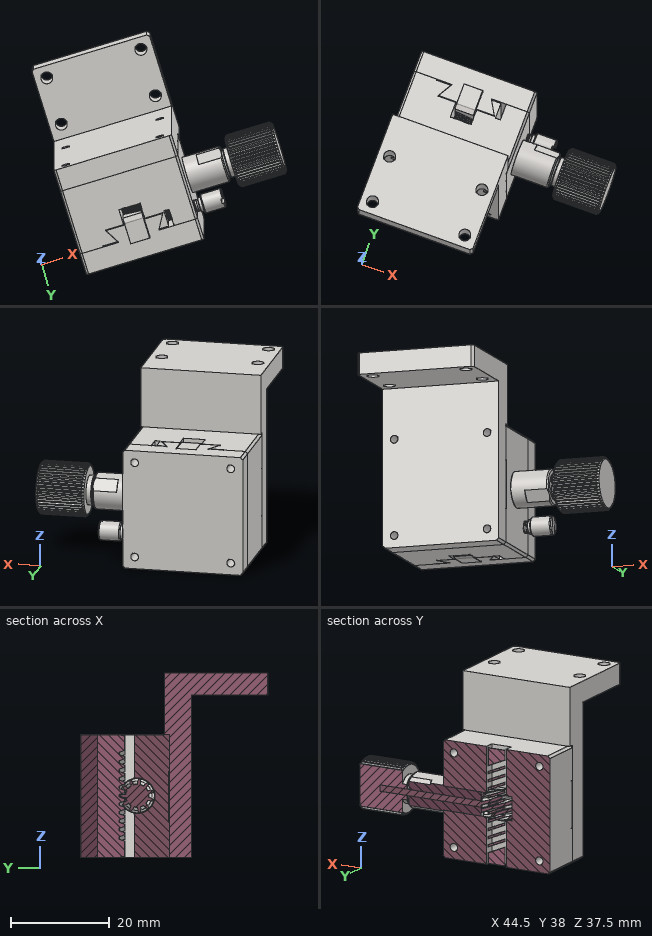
import cadquery as cq
import math


STAGE_WIDTH = 25.0
STAGE_HEIGHT = 25.0
CARRIAGE_DEPTH = 13.55
BASE_DEPTH = 4.5
EDGE_CHAMFER = 0.5
HALF_WIDTH = STAGE_WIDTH / 2
MID_HEIGHT = STAGE_HEIGHT / 2

PLATE_THICKNESS = 4.5
FLANGE_THICKNESS = 4.5
FLANGE_REACH = 15.5
LIP_DEPTH = 1.02
BRACKET_HEIGHT = 37.5
FLANGE_FRONT = -PLATE_THICKNESS - FLANGE_REACH
FLANGE_HOLE_DIAMETER = 2.4
FLANGE_HOLE_PITCH_Y = 10.0

HOLE_PITCH = 20.0
HOLE_EDGE_DISTANCE = (STAGE_WIDTH - HOLE_PITCH) / 2
STAGE_HOLE_DIAMETER = 1.6

DOVETAIL_ANGLE = math.radians(60)
DOVETAIL_NECK_WIDTH = 8.55
DOVETAIL_HEIGHT = 3.05
DOVETAIL_FLOOR_GAP = 0.15
RELIEF_WIDTH = 15.0
RELIEF_DEPTH = 0.22

CLAMP_CUT_WIDTH = 1.05
CLAMP_CUT_DEPTH = 3.45
CLAMP_CUT_LEFT = RELIEF_WIDTH / 2 - CLAMP_CUT_WIDTH

CHANNEL_HEIGHT = 10.0
CHANNEL_DEPTH = 0.2

TOOTH_COUNT = 11
PINION_DIAMETER = 7.0
HELIX_ANGLE = math.radians(23.6)
PRESSURE_ANGLE = math.radians(20)
ADDENDUM = 0.5
TOOTH_HEIGHT = 1.1
BACKLASH = 0.15
TIP_RELIEF = 0.05
PITCH_RADIUS = PINION_DIAMETER / 2 - ADDENDUM
TOOTH_PITCH = 2 * math.pi * PITCH_RADIUS / TOOTH_COUNT
PINION_Y = 6.55
PINION_Z = 12.6
PINION_LENGTH = 7.1
PINION_BORE_DIAMETER = 7.1
SHAFT_DIAMETER = 5.3
PINION_START = -PINION_LENGTH / 2
PINION_END = PINION_LENGTH / 2

RACK_WIDTH = 4.0
RACK_DEPTH = 5.47
RACK_SEAT_CLEARANCE = 0.15
RACK_END_CHAMFER_HEIGHT = 0.25
RACK_GROOVES_EACH_SIDE = 5
RACK_FRONT = PINION_Y + PITCH_RADIUS - ADDENDUM
RACK_SLOT_WIDTH = 4.5
RACK_SLOT_FRONT = 7.1

BUSHING_DIAMETER = 7.5
BUSHING_LENGTH = 8.0
BUSHING_CHAMFER = 0.25
BUSHING_END = HALF_WIDTH + BUSHING_LENGTH
FLATS_DISTANCE = 7.0
FLATS_LENGTH = 5.05
FLATS_TILT = 37

NECK_LENGTH = 0.35
HUB_DIAMETER = 6.1
HUB_LENGTH = 1.1
HUB_CHAMFER = 0.15
KNOB_DIAMETER = 11.0
KNOB_LENGTH = 10.0
KNOB_CHAMFER = 0.5
KNURL_COUNT = 50
KNURL_DEPTH = 0.35
KNURL_LAND_SHARE = 0.4
KNURL_FLOOR_SHARE = 0.1
SHAFT_DEPTH_IN_KNOB = 5.35
HUB_START = BUSHING_END + NECK_LENGTH
KNOB_START = HUB_START + HUB_LENGTH
SHAFT_END = KNOB_START + SHAFT_DEPTH_IN_KNOB

LOCK_Y = 11.95
LOCK_Z = 5.9
THREAD_DIAMETER = 2.5
THREAD_CORE_DIAMETER = 2.05
THREAD_PITCH = 0.45
THREAD_GROOVE_WIDTH = 0.35
THREAD_LEAD_IN = 0.15
THREAD_NECK_DIAMETER = 2.3
THREAD_NECK_LENGTH = 0.35
LOCK_COLLAR_DIAMETER = 3.0
LOCK_COLLAR_START = 13.35
LOCK_COLLAR_LENGTH = 0.65
LOCK_COLLAR_CHAMFER = 0.1
LOCK_HEAD_DIAMETER = 4.0
LOCK_HEAD_LENGTH = 4.5
LOCK_HEAD_CHAMFER = 0.22
DRIVER_SLOT_WIDTH = 1.0
DRIVER_SLOT_DEPTH = 0.55
DRIVER_SLOT_TILT = 10


def block(width, y_front, y_back, z_low, z_high):
    """Box centred on X = 0 between two Y and two Z limits."""
    return (
        cq.Workplane("XY")
        .box(width, y_back - y_front, z_high - z_low, centered=(True, False, False))
        .translate((0, y_front, z_low))
    )


def rod(diameter, x_start, x_end, y, z):
    """Cylinder along X between two X limits."""
    return cq.Workplane("YZ", origin=(x_start, y, z)).circle(diameter / 2).extrude(x_end - x_start)


def stage_holes():
    """Four holes along Y that run through bracket, carriage and base."""
    total_depth = PLATE_THICKNESS + CARRIAGE_DEPTH + BASE_DEPTH
    return (
        cq.Workplane("XZ", origin=(0, -PLATE_THICKNESS, MID_HEIGHT))
        .rect(HOLE_PITCH, HOLE_PITCH, forConstruction=True)
        .vertices()
        .circle(STAGE_HOLE_DIAMETER / 2)
        .extrude(-total_depth)
    )


def dovetail(height):
    """Dovetail prism that widens from the base's front face toward the carriage."""
    half_neck = DOVETAIL_NECK_WIDTH / 2
    half_tip = half_neck + height / math.tan(DOVETAIL_ANGLE)
    tip_y = CARRIAGE_DEPTH - height
    outline = [
        (-half_neck, CARRIAGE_DEPTH),
        (-half_tip, tip_y),
        (half_tip, tip_y),
        (half_neck, CARRIAGE_DEPTH),
    ]
    return cq.Workplane("XY").polyline(outline).close().extrude(STAGE_HEIGHT)


def make_bracket():
    """Plate on the carriage front with a drilled flange on top and a lip over the carriage."""
    plate = block(STAGE_WIDTH, -PLATE_THICKNESS, 0, 0, BRACKET_HEIGHT)
    plate = plate.edges("|Y and <Z").chamfer(EDGE_CHAMFER)
    flange = block(STAGE_WIDTH, FLANGE_FRONT, 0, BRACKET_HEIGHT - FLANGE_THICKNESS, BRACKET_HEIGHT)
    flange = flange.edges("|Z and <Y").chamfer(EDGE_CHAMFER)
    lip = block(STAGE_WIDTH, 0, LIP_DEPTH, STAGE_HEIGHT, BRACKET_HEIGHT)
    hole_centre_y = FLANGE_FRONT + HOLE_EDGE_DISTANCE + FLANGE_HOLE_PITCH_Y / 2
    flange_holes = (
        cq.Workplane("XY", origin=(0, hole_centre_y, BRACKET_HEIGHT))
        .rect(HOLE_PITCH, FLANGE_HOLE_PITCH_Y, forConstruction=True)
        .vertices()
        .circle(FLANGE_HOLE_DIAMETER / 2)
        .extrude(-FLANGE_THICKNESS)
    )
    return plate.union(flange).union(lip).cut(flange_holes).cut(stage_holes())


def make_carriage():
    """Carriage block with the dovetail groove, the clamping cut and the pinion bore."""
    carriage = block(STAGE_WIDTH, 0, CARRIAGE_DEPTH, 0, STAGE_HEIGHT).edges("|Y").chamfer(EDGE_CHAMFER)
    relief = block(RELIEF_WIDTH, CARRIAGE_DEPTH - RELIEF_DEPTH, CARRIAGE_DEPTH, 0, STAGE_HEIGHT)
    rack_slot = block(RACK_SLOT_WIDTH, RACK_SLOT_FRONT, CARRIAGE_DEPTH, 0, STAGE_HEIGHT)
    clamp_cut = block(CLAMP_CUT_WIDTH, CARRIAGE_DEPTH - CLAMP_CUT_DEPTH, CARRIAGE_DEPTH, 0, STAGE_HEIGHT)
    clamp_cut = clamp_cut.translate((CLAMP_CUT_LEFT + CLAMP_CUT_WIDTH / 2, 0, 0))
    channel = block(
        STAGE_WIDTH, 0, CHANNEL_DEPTH, MID_HEIGHT - CHANNEL_HEIGHT / 2, MID_HEIGHT + CHANNEL_HEIGHT / 2
    )
    pinion_bore = rod(PINION_BORE_DIAMETER, PINION_START, HALF_WIDTH, PINION_Y, PINION_Z)
    lock_hole = rod(THREAD_DIAMETER, CLAMP_CUT_LEFT, HALF_WIDTH, LOCK_Y, LOCK_Z)
    cutters = [
        dovetail(DOVETAIL_HEIGHT + DOVETAIL_FLOOR_GAP),
        relief,
        rack_slot,
        clamp_cut,
        channel,
        pinion_bore,
        lock_hole,
        stage_holes(),
    ]
    for cutter in cutters:
        carriage = carriage.cut(cutter)
    return carriage


def make_base():
    """Base slab with the dovetail rail that carries the rack."""
    base_back = CARRIAGE_DEPTH + BASE_DEPTH
    base = block(STAGE_WIDTH, CARRIAGE_DEPTH, base_back, 0, STAGE_HEIGHT).edges("|Y").chamfer(EDGE_CHAMFER)
    seat_width = RACK_WIDTH + RACK_SEAT_CLEARANCE
    rack_seat = block(seat_width, RACK_FRONT, RACK_FRONT + RACK_DEPTH, 0, STAGE_HEIGHT)
    rack_seat = rack_seat.translate((RACK_SEAT_CLEARANCE / 2, 0, 0))
    return base.union(dovetail(DOVETAIL_HEIGHT)).cut(rack_seat).cut(stage_holes())


def make_rack():
    """Rack with slanted tooth spaces that mesh with the helical pinion."""
    rack = block(RACK_WIDTH, RACK_FRONT, RACK_FRONT + RACK_DEPTH, 0, STAGE_HEIGHT)
    rack = rack.faces("<Y").edges("|X").chamfer(RACK_END_CHAMFER_HEIGHT, TOOTH_HEIGHT)
    flank_slope = math.tan(PRESSURE_ANGLE)
    half_mouth = TOOTH_PITCH / 4 + ADDENDUM * flank_slope
    half_floor = half_mouth - TOOTH_HEIGHT * flank_slope
    slant = math.tan(HELIX_ANGLE)
    run = cq.Vector(RACK_WIDTH, 0, -RACK_WIDTH * slant)
    for index in range(-RACK_GROOVES_EACH_SIDE, RACK_GROOVES_EACH_SIDE + 1):
        z = PINION_Z + index * TOOTH_PITCH + RACK_WIDTH / 2 * slant
        corners = [
            (-RACK_WIDTH / 2, RACK_FRONT, z - half_mouth),
            (-RACK_WIDTH / 2, RACK_FRONT, z + half_mouth),
            (-RACK_WIDTH / 2, RACK_FRONT + TOOTH_HEIGHT, z + half_floor),
            (-RACK_WIDTH / 2, RACK_FRONT + TOOTH_HEIGHT, z - half_floor),
        ]
        outline = cq.Wire.makePolygon([cq.Vector(*corner) for corner in corners], close=True)
        rack = rack.cut(cq.Workplane(cq.Solid.extrudeLinear(outline, [], run)))
    return rack


def pinion_outline():
    """Gear outline with the first tooth on the local x axis."""
    tip_radius = PINION_DIAMETER / 2
    root_radius = tip_radius - TOOTH_HEIGHT
    half_pitch_width = (TOOTH_PITCH / 2 - BACKLASH) / 2
    half_tip_width = half_pitch_width - ADDENDUM * math.tan(PRESSURE_ANGLE) - TIP_RELIEF
    half_widths = [
        (root_radius, half_pitch_width),
        (PITCH_RADIUS, half_pitch_width),
        (tip_radius, half_tip_width),
    ]
    profile = [(r, -w) for r, w in half_widths] + [(r, w) for r, w in reversed(half_widths)]
    points = []
    for tooth in range(TOOTH_COUNT):
        centre = 2 * math.pi * tooth / TOOTH_COUNT
        for radius, offset in profile:
            angle = centre + offset / radius
            points.append((radius * math.cos(angle), radius * math.sin(angle)))
    return points


def make_pinion():
    """Helical pinion and its shaft, turned together as one piece."""
    twist_at_start = math.degrees(PINION_LENGTH / 2 * math.tan(HELIX_ANGLE) / PITCH_RADIUS)
    gear = (
        cq.Workplane("YZ")
        .polyline(pinion_outline())
        .close()
        .twistExtrude(PINION_LENGTH, -2 * twist_at_start)
        .rotate((0, 0, 0), (1, 0, 0), twist_at_start)
        .translate((PINION_START, PINION_Y, PINION_Z))
    )
    return gear.union(rod(SHAFT_DIAMETER, PINION_END, SHAFT_END, PINION_Y, PINION_Z))


def make_bushing():
    """Bushing with a spigot in the carriage bore and two tilted wrench flats."""
    barrel = rod(BUSHING_DIAMETER, HALF_WIDTH, BUSHING_END, PINION_Y, PINION_Z)
    barrel = barrel.faces(">X").chamfer(BUSHING_CHAMFER)
    flat_zone = rod(2 * BUSHING_DIAMETER, BUSHING_END - FLATS_LENGTH, BUSHING_END, PINION_Y, PINION_Z)
    kept_slab = (
        cq.Workplane("XY")
        .box(2 * BUSHING_END, FLATS_DISTANCE, 2 * BUSHING_DIAMETER)
        .rotate((0, 0, 0), (1, 0, 0), FLATS_TILT)
        .translate((0, PINION_Y, PINION_Z))
    )
    spigot = rod(PINION_BORE_DIAMETER, PINION_END, HALF_WIDTH, PINION_Y, PINION_Z)
    shaft_bore = rod(SHAFT_DIAMETER, PINION_END, BUSHING_END, PINION_Y, PINION_Z)
    return barrel.cut(flat_zone.cut(kept_slab)).union(spigot).cut(shaft_bore)


def make_knob():
    """Knurled knob with a plain hub and a blind bore for the shaft."""
    tip_radius = KNOB_DIAMETER / 2
    root_radius = tip_radius - KNURL_DEPTH
    ridge_angle = 2 * math.pi / KNURL_COUNT
    half_land = ridge_angle * KNURL_LAND_SHARE / 2
    half_root = ridge_angle * (1 - KNURL_FLOOR_SHARE) / 2
    ridge = [
        (root_radius, -half_root),
        (tip_radius, -half_land),
        (tip_radius, half_land),
        (root_radius, half_root),
    ]
    points = []
    for index in range(KNURL_COUNT):
        for radius, offset in ridge:
            angle = index * ridge_angle + offset
            points.append((radius * math.cos(angle), radius * math.sin(angle)))
    grip = (
        cq.Workplane("YZ", origin=(KNOB_START, PINION_Y, PINION_Z))
        .polyline(points)
        .close()
        .extrude(KNOB_LENGTH)
    )
    envelope = rod(KNOB_DIAMETER, KNOB_START, KNOB_START + KNOB_LENGTH, PINION_Y, PINION_Z)
    grip = grip.intersect(envelope.edges().chamfer(KNOB_CHAMFER))
    hub = rod(HUB_DIAMETER, HUB_START, KNOB_START, PINION_Y, PINION_Z).faces("<X").chamfer(HUB_CHAMFER)
    shaft_bore = rod(SHAFT_DIAMETER, HUB_START, SHAFT_END, PINION_Y, PINION_Z)
    return grip.union(hub).cut(shaft_bore)


def thread_groove(length):
    """Helical V groove about the Z axis that runs out at both ends."""
    outer_radius = THREAD_DIAMETER / 2
    core_radius = THREAD_CORE_DIAMETER / 2
    overshoot = (outer_radius - core_radius) / 2
    half_mouth = THREAD_GROOVE_WIDTH / 2
    helix = cq.Wire.makeHelix(THREAD_PITCH, length, core_radius)
    return (
        cq.Workplane("XZ")
        .moveTo(core_radius, 0)
        .lineTo(outer_radius + overshoot, half_mouth)
        .lineTo(outer_radius + overshoot, -half_mouth)
        .close()
        .sweep(cq.Workplane(helix), isFrenet=True)
    )


def make_lock_screw():
    """Slotted lock screw whose tip bears on the tongue beside the dovetail."""
    thread_length = LOCK_COLLAR_START - THREAD_NECK_LENGTH - CLAMP_CUT_LEFT
    shank = (
        cq.Workplane("XY")
        .circle(THREAD_DIAMETER / 2)
        .extrude(thread_length)
        .faces(">Z")
        .workplane()
        .circle(THREAD_NECK_DIAMETER / 2)
        .extrude(THREAD_NECK_LENGTH)
        .cut(thread_groove(thread_length).translate((0, 0, -THREAD_LEAD_IN)))
        .rotate((0, 0, 0), (0, 1, 0), 90)
        .translate((CLAMP_CUT_LEFT, LOCK_Y, LOCK_Z))
    )

    head_start = LOCK_COLLAR_START + LOCK_COLLAR_LENGTH
    head_end = head_start + LOCK_HEAD_LENGTH
    collar = rod(LOCK_COLLAR_DIAMETER, LOCK_COLLAR_START, head_start, LOCK_Y, LOCK_Z)
    collar = collar.faces("<X").chamfer(LOCK_COLLAR_CHAMFER)
    head = rod(LOCK_HEAD_DIAMETER, head_start, head_end, LOCK_Y, LOCK_Z).edges().chamfer(LOCK_HEAD_CHAMFER)
    driver_slot = (
        cq.Workplane("XY")
        .box(2 * DRIVER_SLOT_DEPTH, DRIVER_SLOT_WIDTH, 2 * LOCK_HEAD_DIAMETER)
        .rotate((0, 0, 0), (1, 0, 0), DRIVER_SLOT_TILT)
        .translate((head_end, LOCK_Y, LOCK_Z))
    )
    return shank.union(collar).union(head.cut(driver_slot))


bracket = make_bracket()
carriage = make_carriage()
base = make_base()
rack = make_rack()
pinion = make_pinion()
bushing = make_bushing()
knob = make_knob()
lock_screw = make_lock_screw()

bodies = [bracket, carriage, base, rack, pinion, bushing, knob, lock_screw]
result = cq.Compound.makeCompound([body.solids().val() for body in bodies])